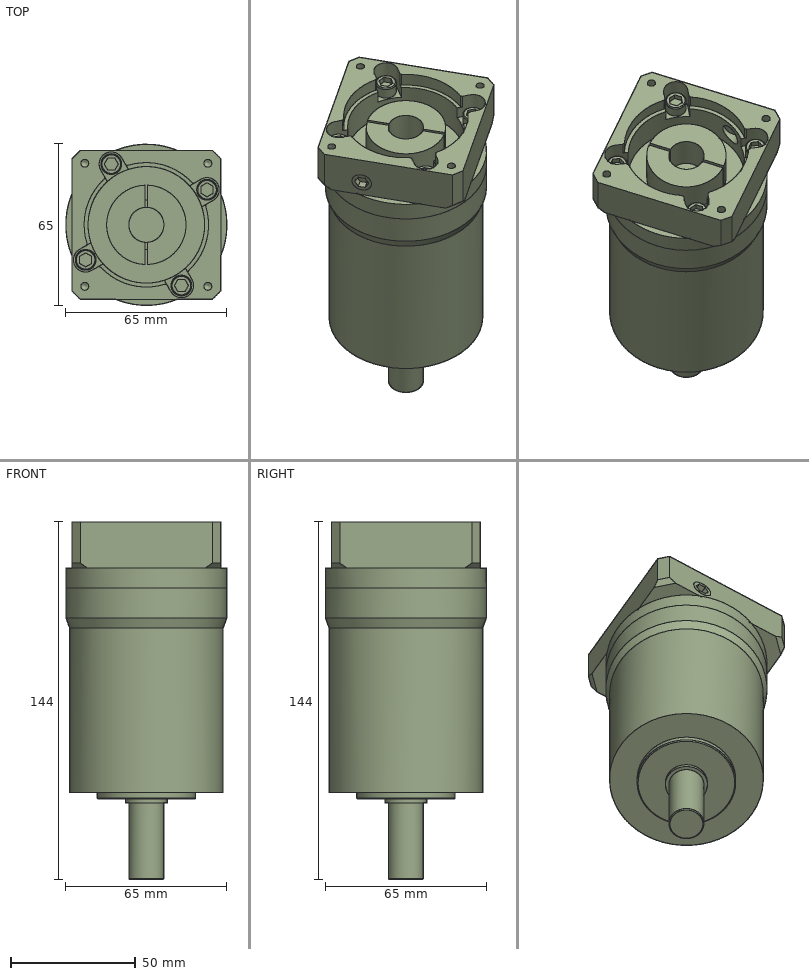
import cadquery as cq
import math

TOTAL_HEIGHT = 144.0
COLLAR_BOTTOM = 31.0
PILOT_BOTTOM = 32.4
BODY_BOTTOM = 35.0
SHOULDER_BOTTOM = 101.4
SHOULDER_TOP = 105.4
ADAPTER_BOTTOM = 117.5
PLATE_BOTTOM = 125.4

SHAFT_RADIUS = 7.0
SHAFT_CHAMFER = 0.5
COLLAR_RADIUS = 8.5
PILOT_RADIUS = 19.9
PILOT_CHAMFER = 0.5
BODY_RADIUS = 31.0
RING_DIAMETER = 65.0
RING_RADIUS = RING_DIAMETER / 2
HUB_RADIUS = 16.0
HUB_TOP_DEPTH = 6.0
HUB_BORE_RADIUS = 7.0
HUB_BORE_DEPTH = 14.4
HUB_SLOT_WIDTH = 1.0
SLOT_STEP_RADIUS = 10.0
INNER_SLOT_DEPTH = 7.2

PLATE_WIDTH = 60.0
PLATE_CORNER_CHAMFER = 3.5
CORNER_BEVEL = 2.0
CORNER_ANGLES = (45, 135, 225, 315)
COUNTERBORE_RADIUS = 25.0
COUNTERBORE_DEPTH = 5.8
ADAPTER_BORE_RADIUS = 23.5
INPUT_FACE_DEPTH = 20.0

MOUNT_HOLE_OFFSET = 24.8
MOUNT_HOLE_RADIUS = 1.6
MOUNT_HOLE_DEPTH = 10.1
DRILL_TIP_ANGLE = 118.0

SCREW_COUNT = 4
SCREW_CIRCLE_RADIUS = 28.2
FIRST_SCREW_ANGLE = 30.0
POCKET_RADIUS = 4.9
POCKET_MOUTH_CHAMFER = 0.6
POCKET_DEPTH = 11.0
SCREW_HEAD_RADIUS = 4.2
SCREW_HEAD_HEIGHT = 5.0
SCREW_HEAD_CHAMFER = 0.5
SCREW_HEX_FLATS = 4.9
SCREW_HEX_DEPTH = 2.5

PLUG_Y = 11.1
PLUG_Z = 132.0
PLUG_RADIUS = 4.0
PLUG_LENGTH = 6.0
PLUG_HEX_FLATS = 4.9
PLUG_HEX_DEPTH = 3.0

INPUT_FACE = TOTAL_HEIGHT - INPUT_FACE_DEPTH
HUB_TOP = TOTAL_HEIGHT - HUB_TOP_DEPTH
HEX_CORNERS_PER_FLATS = 2 / math.sqrt(3)
MATCH_TOLERANCE = 0.01


def disc(radius, bottom, top):
    """Upright cylinder on the gearbox axis."""
    return cq.Workplane("XY").workplane(offset=bottom).circle(radius).extrude(top - bottom)


def make_hub():
    """Clamp hub slotted along Y, full depth at the rim and shallower next to the bore."""
    slot = (
        cq.Workplane("XY")
        .workplane(offset=INPUT_FACE)
        .rect(HUB_SLOT_WIDTH, 2 * HUB_RADIUS)
        .extrude(HUB_TOP - INPUT_FACE)
    )
    inner_slot_floor = disc(SLOT_STEP_RADIUS, INPUT_FACE, HUB_TOP - INNER_SLOT_DEPTH)
    return disc(HUB_RADIUS, INPUT_FACE, HUB_TOP).cut(slot).union(inner_slot_floor)


def make_gearbox():
    """Housing with the output shaft below and the input hub and its boss above."""
    shaft = disc(SHAFT_RADIUS, 0, COLLAR_BOTTOM).faces("<Z").chamfer(SHAFT_CHAMFER)
    collar = disc(COLLAR_RADIUS, COLLAR_BOTTOM, PILOT_BOTTOM)
    pilot = disc(PILOT_RADIUS, PILOT_BOTTOM, BODY_BOTTOM).faces("<Z").chamfer(PILOT_CHAMFER)
    housing = (
        cq.Workplane("XZ")
        .moveTo(0, BODY_BOTTOM)
        .lineTo(BODY_RADIUS, BODY_BOTTOM)
        .lineTo(BODY_RADIUS, SHOULDER_BOTTOM)
        .lineTo(RING_RADIUS, SHOULDER_TOP)
        .lineTo(RING_RADIUS, ADAPTER_BOTTOM)
        .lineTo(0, ADAPTER_BOTTOM)
        .close()
        .revolve(360, (0, 0, 0), (0, 1, 0))
    )
    boss = disc(ADAPTER_BORE_RADIUS, ADAPTER_BOTTOM, INPUT_FACE)
    bore = disc(HUB_BORE_RADIUS, HUB_TOP - HUB_BORE_DEPTH, HUB_TOP)
    return housing.union(pilot).union(collar).union(shaft).union(boss).union(make_hub()).cut(bore)


def make_plate():
    """Square plate with cut corners, each bevelled at 45 degrees along its lower edge."""
    plate = (
        cq.Workplane("XY")
        .workplane(offset=PLATE_BOTTOM)
        .rect(PLATE_WIDTH, PLATE_WIDTH)
        .extrude(TOTAL_HEIGHT - PLATE_BOTTOM)
        .edges("|Z")
        .chamfer(PLATE_CORNER_CHAMFER)
    )
    corner_distance = (PLATE_WIDTH - PLATE_CORNER_CHAMFER) / math.sqrt(2)
    bevel = (
        cq.Workplane("XZ")
        .moveTo(corner_distance - CORNER_BEVEL, PLATE_BOTTOM)
        .lineTo(corner_distance, PLATE_BOTTOM)
        .lineTo(corner_distance, PLATE_BOTTOM + CORNER_BEVEL)
        .close()
        .extrude(PLATE_WIDTH / 2, both=True)
    )
    for angle in CORNER_ANGLES:
        plate = plate.cut(bevel.rotate((0, 0, 0), (0, 0, 1), angle))
    return plate


def mount_hole():
    """Blind drilled hole with a conical tip, opening at the plate top."""
    floor = TOTAL_HEIGHT - MOUNT_HOLE_DEPTH
    tip = floor - MOUNT_HOLE_RADIUS / math.tan(math.radians(DRILL_TIP_ANGLE / 2))
    return (
        cq.Workplane("XZ")
        .moveTo(0, tip)
        .lineTo(MOUNT_HOLE_RADIUS, floor)
        .lineTo(MOUNT_HOLE_RADIUS, TOTAL_HEIGHT)
        .lineTo(0, TOTAL_HEIGHT)
        .close()
        .revolve(360, (0, 0, 0), (0, 1, 0))
    )


def screw_pocket():
    """Round-ended pocket on the +X side that opens into the bore."""
    floor = TOTAL_HEIGHT - POCKET_DEPTH
    rounded_end = disc(POCKET_RADIUS, floor, TOTAL_HEIGHT).translate((SCREW_CIRCLE_RADIUS, 0, 0))
    channel = (
        cq.Workplane("XY")
        .workplane(offset=floor)
        .center(SCREW_CIRCLE_RADIUS / 2, 0)
        .rect(SCREW_CIRCLE_RADIUS, 2 * POCKET_RADIUS)
        .extrude(POCKET_DEPTH)
    )
    return rounded_end.union(channel)


def chamfer_pocket_mouths(adapter):
    """Chamfer the upright corners where the pockets open into the counterbore."""

    def is_mouth_corner(edge):
        center = edge.Center()
        return math.isclose(math.hypot(center.x, center.y), COUNTERBORE_RADIUS, abs_tol=MATCH_TOLERANCE)

    return adapter.edges("|Z").filter(is_mouth_corner).chamfer(POCKET_MOUTH_CHAMFER)


def screw_head():
    """Socket head of a cap screw on the +X side, standing on the pocket floor."""
    floor = TOTAL_HEIGHT - POCKET_DEPTH
    return (
        disc(SCREW_HEAD_RADIUS, floor, floor + SCREW_HEAD_HEIGHT)
        .faces(">Z")
        .chamfer(SCREW_HEAD_CHAMFER)
        .faces(">Z")
        .workplane()
        .polygon(6, SCREW_HEX_FLATS * HEX_CORNERS_PER_FLATS)
        .cutBlind(-SCREW_HEX_DEPTH)
        .translate((SCREW_CIRCLE_RADIUS, 0, 0))
    )


def plug_hole():
    """Hole for the plug, running along X from the plate side into the bore."""
    return (
        cq.Workplane("YZ")
        .workplane(offset=-PLATE_WIDTH / 2)
        .center(PLUG_Y, PLUG_Z)
        .circle(PLUG_RADIUS)
        .extrude(PLATE_WIDTH / 2)
    )


def make_adapter():
    """Bored plate and ring, with the mounting holes, cap screws and plug hole."""
    adapter = make_plate().union(disc(RING_RADIUS, ADAPTER_BOTTOM, PLATE_BOTTOM))
    adapter = adapter.cut(disc(ADAPTER_BORE_RADIUS, ADAPTER_BOTTOM, TOTAL_HEIGHT))
    adapter = adapter.cut(disc(COUNTERBORE_RADIUS, TOTAL_HEIGHT - COUNTERBORE_DEPTH, TOTAL_HEIGHT))
    for x in (-MOUNT_HOLE_OFFSET, MOUNT_HOLE_OFFSET):
        for y in (-MOUNT_HOLE_OFFSET, MOUNT_HOLE_OFFSET):
            adapter = adapter.cut(mount_hole().translate((x, y, 0)))
    angles = [FIRST_SCREW_ANGLE + index * 360 / SCREW_COUNT for index in range(SCREW_COUNT)]
    for angle in angles:
        adapter = adapter.cut(screw_pocket().rotate((0, 0, 0), (0, 0, 1), angle))
    adapter = chamfer_pocket_mouths(adapter)
    for angle in angles:
        adapter = adapter.union(screw_head().rotate((0, 0, 0), (0, 0, 1), angle))
    return adapter.cut(plug_hole())


def make_plug():
    """Socket plug, flush with the -X side of the plate."""
    outer_face = cq.Workplane("YZ").workplane(offset=-PLATE_WIDTH / 2).center(PLUG_Y, PLUG_Z)
    socket = outer_face.polygon(6, PLUG_HEX_FLATS * HEX_CORNERS_PER_FLATS).extrude(PLUG_HEX_DEPTH)
    return outer_face.circle(PLUG_RADIUS).extrude(PLUG_LENGTH).cut(socket)


gearbox = make_gearbox()
adapter = make_adapter()
plug = make_plug()

result = cq.Compound.makeCompound([gearbox.val(), adapter.val(), plug.val()])